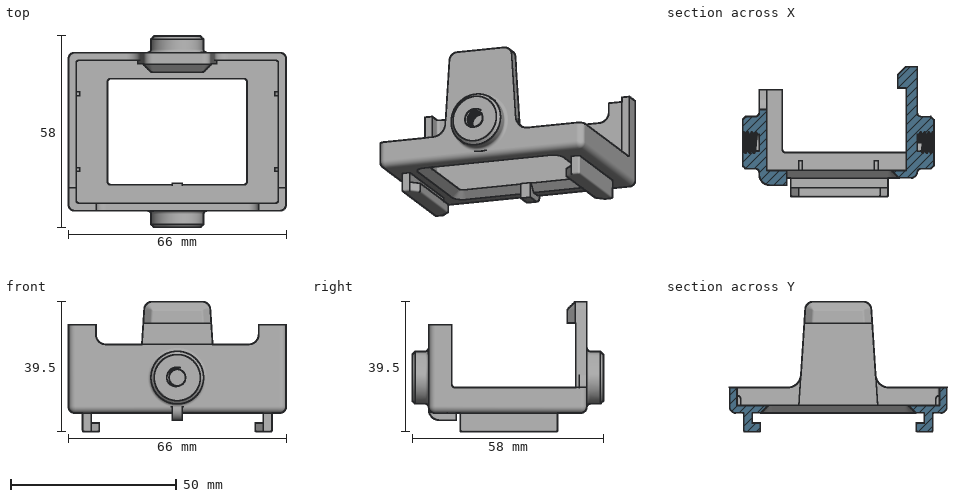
import cadquery as cq
import math

length = 66.0
depth = 48.0
wall = 2.4
floor = 2.4
rim_height = 7.8
outer_round = 2.0
inner_round = 0.8
opening_length = 42.25
opening_depth = 32.1
opening_round = 1.0
front_y = -depth / 2
back_y = depth / 2

ear_height = 26.8
ear_width = 8.4
ear_depth = 7.05
ear_foot_round = 1.0
notch_floor = 20.85
notch_round = 3.0

clip_height = 33.8
clip_top_half_width = 9.9
clip_taper = 0.065
clip_corner_round = 2.5
clip_foot_round = 3.95
clip_liner = 1.05
hook_bottom = 27.25
hook_reach = 2.6
hook_slope = 2.45
hook_edge_round = 1.0

boss_diameter = 16.0
boss_reach = 5.0
boss_chamfer = 1.0
boss_foot_round = 1.0
boss_sink = 0.3
boss_z = 10.75
hole_diameter = 5.0
thread_diameter = 6.35
thread_pitch = 1.25
thread_mouth_width = 1.0
thread_root_width = 0.1
thread_overlap = 0.2

rail_half_span = 28.7
rail_length = 29.6
rail_center_y = 0.3
rail_drop = 5.7
rail_web = 2.7
rail_foot_width = 5.15
rail_foot_height = 2.7
rail_edge_round = 0.6

tab_width = 3.2
tab_length = 8.45
tab_drop = 2.2
tab_round = 3.3

rib_reach = 1.05
rib_width = 1.1
rib_y = 11.5
rib_top = 5.3
rib_round = 1.0


def block(x_range, y_range, z_range):
    """Box spanning the given (low, high) ranges."""
    sizes = [high - low for low, high in (x_range, y_range, z_range)]
    return cq.Workplane("XY").box(*sizes, centered=False).translate((x_range[0], y_range[0], z_range[0]))


def make_tray():
    """Shallow tray with a flared floor opening and a high, notched front wall."""
    tray = cq.Workplane("XY").rect(length, depth).extrude(ear_height)
    tray = tray.edges("|Z").fillet(outer_round).faces("<Z").edges().fillet(outer_round)

    pocket = cq.Workplane("XY").workplane(offset=floor).rect(length - 2 * wall, depth - 2 * wall)
    tray = tray.cut(pocket.extrude(ear_height).edges("|Z").fillet(inner_round))

    flared_length = opening_length + 2 * floor
    flared_depth = opening_depth + 2 * floor
    flared_outline = cq.Sketch().rect(flared_length, flared_depth).vertices().fillet(opening_round + floor)
    tray = tray.cut(cq.Workplane("XY").placeSketch(flared_outline).extrude(floor, taper=45))

    above_rim = block((-length, length), (front_y + ear_depth, depth), (rim_height, 2 * ear_height))
    tray = tray.cut(above_rim.edges("<Y and <Z").fillet(ear_foot_round))

    notch_half = length / 2 - ear_width
    notch = block((-notch_half, notch_half), (front_y, front_y + wall), (notch_floor, 2 * ear_height))
    return tray.cut(notch.edges("|Y and <Z").fillet(notch_round))


def clip_half_width(z):
    """Half of the clip's width at height z."""
    return clip_top_half_width + clip_taper * (clip_height - z)


def clip_slab(bottom, outer_y, thickness):
    """Tapered slab with rounded top corners, reaching from outer_y toward the front."""
    low = clip_half_width(bottom)
    high = clip_top_half_width
    slab = (
        cq.Workplane("XZ", origin=(0, outer_y, 0))
        .polyline([(-low, bottom), (low, bottom), (high, clip_height), (-high, clip_height)])
        .close()
        .extrude(thickness)
    )
    return slab.faces(">Z").edges("|Y").fillet(clip_corner_round)


def add_clip(body):
    """Raise the clip from the back wall, blend it into the rim and thicken its inner face."""
    body = body.union(clip_slab(floor, back_y, wall))
    foot_half = clip_half_width(rim_height)
    for side in (-1, 1):
        foot_edge = cq.selectors.NearestToPointSelector((side * foot_half, back_y - wall / 2, rim_height))
        body = body.edges(foot_edge).fillet(clip_foot_round)
    return body.union(clip_slab(floor, back_y - wall, clip_liner))


def make_hook():
    """Catch on the inner face of the clip, sloped on its top and sides, flat underneath."""
    hook_y = back_y - wall - clip_liner
    slab = clip_slab(rim_height, hook_y, hook_reach)
    slab = slab.faces("<Y").edges("not <Z").chamfer(hook_slope)
    slab = slab.faces("<Y").edges().fillet(hook_edge_round)
    return slab.cut(block((-length, length), (front_y, back_y), (0, hook_bottom)))


def make_boss():
    """Threaded boss of revolution around +Z, standing on Z = 0."""
    radius = boss_diameter / 2
    arc_offset = boss_foot_round * (1 - math.sqrt(0.5))
    boss = (
        cq.Workplane("XZ")
        .moveTo(0, -boss_sink)
        .lineTo(radius + boss_foot_round, -boss_sink)
        .lineTo(radius + boss_foot_round, 0)
        .threePointArc((radius + arc_offset, arc_offset), (radius, boss_foot_round))
        .lineTo(radius, boss_reach - boss_chamfer)
        .lineTo(radius - boss_chamfer, boss_reach)
        .lineTo(0, boss_reach)
        .close()
        .revolve(360, (0, 0, 0), (0, 1, 0))
    )
    return boss.cut(make_threaded_hole())


def make_threaded_hole():
    """Cutter for the hole and its helical groove, starting at Z = 0 and running out through the boss face."""
    start = thread_pitch / 2
    helix = cq.Wire.makeHelix(thread_pitch, boss_reach, hole_diameter / 2)
    helix = helix.moved(cq.Location(cq.Vector(0, 0, start)))
    inner = hole_diameter / 2 - thread_overlap
    outer = thread_diameter / 2
    half_mouth = thread_mouth_width / 2
    half_root = thread_root_width / 2
    groove = (
        cq.Workplane("XZ")
        .moveTo(inner, start - half_mouth)
        .lineTo(outer, start - half_root)
        .lineTo(outer, start + half_root)
        .lineTo(inner, start + half_mouth)
        .close()
        .sweep(cq.Workplane(obj=helix), isFrenet=True)
    )
    shank = cq.Workplane("XY").circle(hole_diameter / 2).extrude(2 * boss_reach)
    return shank.union(groove)


def on_front(shape):
    """Lay a shape built around +Z onto the front wall, pointing toward -Y."""
    return shape.rotate((0, 0, 0), (1, 0, 0), 90).translate((0, front_y, boss_z))


def on_back(shape):
    """Same as on_front, turned half a turn about Z onto the back wall."""
    return on_front(shape).rotate((0, 0, 0), (0, 0, 1), 180)


def make_rail(side):
    """L-shaped rail under one end, with a foot that points to the middle and has mitred ends."""
    half_length = rail_length / 2
    foot_reach = rail_foot_width - rail_web
    web = block((-rail_web, 0), (-half_length, half_length), (-rail_drop, 0))
    foot = (
        cq.Workplane("XY", origin=(0, 0, -rail_drop))
        .moveTo(-rail_web, -half_length)
        .lineTo(-rail_foot_width, foot_reach - half_length)
        .lineTo(-rail_foot_width, half_length - foot_reach)
        .lineTo(-rail_web, half_length)
        .close()
        .extrude(rail_foot_height)
    )
    rail = web.union(foot)
    rail = rail.edges(">X and |Z").fillet(rail_edge_round)
    rail = rail.faces("<Z").edges().fillet(rail_edge_round)
    rail = rail.translate((rail_half_span, rail_center_y, 0))
    return rail if side > 0 else rail.mirror("YZ")


def make_tab():
    """Tab flush with the front wall and the top of the floor, rounded at its lower front edge."""
    tab = block((-tab_width / 2, tab_width / 2), (front_y, front_y + tab_length), (-tab_drop, floor))
    return tab.edges("<Y and <Z").fillet(tab_round)


def make_rib(side, y):
    """Upright rib on an end wall, rounded over at its top."""
    wall_x = side * (length / 2 - wall)
    rib_x = sorted((wall_x, wall_x - side * rib_reach))
    rib = block(rib_x, (y - rib_width / 2, y + rib_width / 2), (floor, rib_top))
    inner_edge = ("<X" if side > 0 else ">X") + " and >Z"
    return rib.edges(inner_edge).fillet(rib_round)


result = add_clip(make_tray()).union(make_hook()).union(make_tab())
for side in (-1, 1):
    result = result.union(make_rail(side))
    for y in (-rib_y, rib_y):
        result = result.union(make_rib(side, y))

for place in (on_front, on_back):
    result = result.union(place(make_boss()))